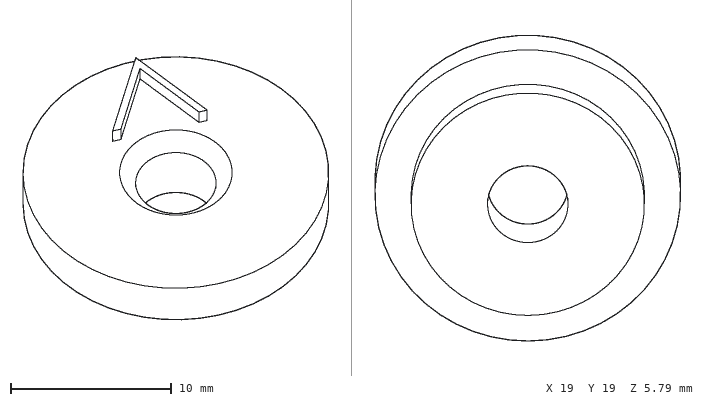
import cadquery as cq

disc_diameter = 19.0
disc_thickness = 3.0
spigot_diameter = 14.5
spigot_height = 1.8

hole_diameter = 5.0
countersink_diameter = 7.0
countersink_angle = 90.0

pointer_height = 0.99
pointer_tip_x = -8.93
pointer_inner_tip_x = -8.0
pointer_end_x = -3.55
pointer_half_width = 3.05
pointer_inner_half_width = 2.53

top_z = spigot_height + disc_thickness


def make_body():
    """Spigot and disc stacked on one axis, with the spigot standing on Z = 0."""
    spigot = cq.Workplane("XY").circle(spigot_diameter / 2).extrude(spigot_height)
    return spigot.faces(">Z").workplane().circle(disc_diameter / 2).extrude(disc_thickness)


def cut_hole(body):
    """Central through hole, countersunk from the top face."""
    return body.faces(">Z").workplane(origin=(0, 0, top_z)).cskHole(
        hole_diameter, countersink_diameter, countersink_angle
    )


def make_pointer():
    """Chevron symmetric about the X axis, with its ends cut square to that axis."""
    outline = [
        (pointer_tip_x, 0),
        (pointer_end_x, pointer_half_width),
        (pointer_end_x, pointer_inner_half_width),
        (pointer_inner_tip_x, 0),
        (pointer_end_x, -pointer_inner_half_width),
        (pointer_end_x, -pointer_half_width),
    ]
    return cq.Workplane("XY", origin=(0, 0, top_z)).polyline(outline).close().extrude(pointer_height)


result = cut_hole(make_body()).union(make_pointer())